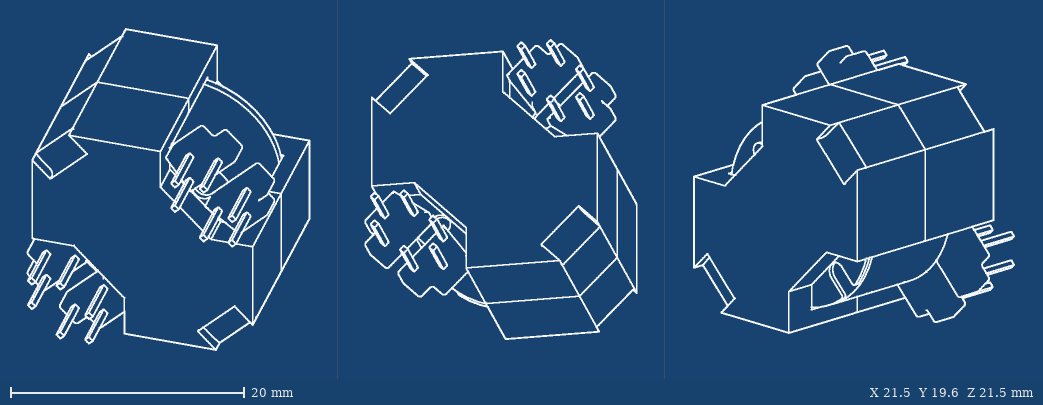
import cadquery as cq
import math

CORE_HALF_WIDTH = 9.88
CORE_HALF_LENGTH = 8.26
CORE_CORNER_FLAT = 6.59
LEG_FACE = 1.61
END_PLATE_REACH = 5.49
CAVITY_RADIUS = 8.55
CAVITY_HALF_LENGTH = 5.5
POST_RADIUS = 4.26

NOTCH_WALL_REACH = 9.35
NOTCH_SLOPE_REACH = 10.87
NOTCH_DEPTH = 1.0
NOTCH_EDGE_DEPTH = 1.1
NOTCH_FILLET = 0.47

TUBE_RADIUS = 4.95
FLANGE_RADIUS = 8.4
FLANGE_THICKNESS = 0.55
FLANGE_FILLET = 0.25
END_CLEARANCE = 0.17
SLOT_WIDTH = 1.8
SLOT_END_CENTRE = 6.35
MARKER_RADIUS = 0.75
MARKER_HEIGHT = 0.35

BLOCK_THICKNESS = 2.43
BLOCK_END = 7.0
BLOCK_INNER_REACH = 6.4
BLOCK_INNER_SIDE_REACH = 7.0
BLOCK_OUTER_REACH = 12.18
BLOCK_STEP_REACH = 10.7
BLOCK_STEP_SIDE = 3.18
BLOCK_SIDE = 4.67
BLOCK_FILLET = 0.25
PIN_WIDTH = 0.5
PIN_END = 11.32
PIN_PITCH = 2.56
PIN_GRID_START = 3.85

BASE_TOP = BLOCK_END - BLOCK_THICKNESS
BOBBIN_HALF_LENGTH = CAVITY_HALF_LENGTH - END_CLEARANCE
FLANGE_START = BOBBIN_HALF_LENGTH - FLANGE_THICKNESS
WINDING_END = FLANGE_START - END_CLEARANCE
CORNER_REACH = (CORE_HALF_WIDTH + CORE_CORNER_FLAT) / math.sqrt(2)
NOTCH_HALF_SPAN = (CORE_HALF_WIDTH - CORE_CORNER_FLAT) / math.sqrt(2)


def square_plane(height):
    """Plane along X and Z; height counts from the joint plane toward -Y."""
    return cq.Workplane(cq.Plane((0, -height, 0), xDir=(1, 0, 0), normal=(0, -1, 0)))


def diagonal_plane(height):
    """Same plane turned 45 degrees: x along the open diagonal, y along the closed one."""
    return cq.Workplane(cq.Plane((0, -height, 0), xDir=(1, 0, 1), normal=(0, -1, 0)))


def half_turn(body):
    return body.rotate((0, 0, 0), (0, 1, 0), 180)


def cylinder(radius, start, end):
    return square_plane(start).circle(radius).extrude(end - start)


def corner_notch():
    floor = CORE_HALF_LENGTH - NOTCH_DEPTH
    floor_edge = CORE_HALF_LENGTH - NOTCH_EDGE_DEPTH
    side = cq.Plane((0, 0, 0), xDir=(0, -1, 0), normal=(-1, 0, -1))
    return (
        cq.Workplane(side)
        .moveTo(CORE_HALF_LENGTH, NOTCH_WALL_REACH)
        .lineTo(floor + NOTCH_FILLET, NOTCH_WALL_REACH)
        .radiusArc((floor, NOTCH_WALL_REACH + NOTCH_FILLET), NOTCH_FILLET)
        .lineTo(floor, NOTCH_SLOPE_REACH)
        .lineTo(floor_edge, CORNER_REACH)
        .lineTo(CORE_HALF_LENGTH, CORNER_REACH)
        .close()
        .extrude(NOTCH_HALF_SPAN, both=True)
    )


def core_half():
    plate_corner = END_PLATE_REACH * math.sqrt(2) - LEG_FACE
    half_outline = [
        (-CORE_HALF_WIDTH, CORE_CORNER_FLAT),
        (-CORE_CORNER_FLAT, CORE_HALF_WIDTH),
        (LEG_FACE, CORE_HALF_WIDTH),
        (LEG_FACE, plate_corner),
        (plate_corner, LEG_FACE),
        (CORE_HALF_WIDTH, LEG_FACE),
    ]
    outline = half_outline + [(-x, -z) for x, z in half_outline]
    half = square_plane(0).polyline(outline).close().extrude(CORE_HALF_LENGTH)
    half = half.cut(cylinder(CAVITY_RADIUS, 0, CAVITY_HALF_LENGTH))
    half = half.union(cylinder(POST_RADIUS, 0, CAVITY_HALF_LENGTH))
    notch = corner_notch()
    return half.cut(notch).cut(half_turn(notch))


def wire_slot(start, end):
    """Slot with a round inner end, open at the rim on the +X +Z side."""
    length = FLANGE_RADIUS - SLOT_END_CENTRE
    height = end - start
    channel = diagonal_plane(start).center(SLOT_END_CENTRE + length / 2, 0).rect(length, SLOT_WIDTH)
    round_end = diagonal_plane(start).center(SLOT_END_CENTRE, 0).circle(SLOT_WIDTH / 2)
    return channel.extrude(height).union(round_end.extrude(height))


def open_diagonal_reach(edge):
    centre = edge.Center()
    return (centre.x + centre.z) / math.sqrt(2)


def top_flange():
    """Flange at the +Y end: one wire slot toward -X -Z, a round marker toward +X +Z."""
    flange = cylinder(FLANGE_RADIUS, -BOBBIN_HALF_LENGTH, -FLANGE_START)
    flange = flange.cut(half_turn(wire_slot(-BOBBIN_HALF_LENGTH, -FLANGE_START)))
    slot_middle = (SLOT_END_CENTRE + FLANGE_RADIUS) / 2
    rim_corners = flange.edges("|Y").filter(lambda edge: open_diagonal_reach(edge) < -slot_middle)
    flange = rim_corners.fillet(FLANGE_FILLET)
    flange = flange.faces("<Y").edges().fillet(FLANGE_FILLET)
    marker_end = -BOBBIN_HALF_LENGTH - MARKER_HEIGHT
    marker = diagonal_plane(marker_end).center(SLOT_END_CENTRE, 0).circle(MARKER_RADIUS)
    return flange.union(marker.extrude(MARKER_HEIGHT))


def terminal_block():
    """Block on the upper side of the gap at the +X +Z corner."""
    gap_side = SLOT_WIDTH / 2
    outline = [
        (BLOCK_INNER_REACH, gap_side),
        (BLOCK_INNER_SIDE_REACH, BLOCK_SIDE),
        (BLOCK_STEP_REACH, BLOCK_SIDE),
        (BLOCK_STEP_REACH, BLOCK_STEP_SIDE),
        (BLOCK_OUTER_REACH, BLOCK_STEP_SIDE),
        (BLOCK_OUTER_REACH, gap_side),
    ]
    block = diagonal_plane(BASE_TOP).polyline(outline).close().extrude(BLOCK_THICKNESS)
    outer_corners = block.edges("|Y").filter(lambda edge: open_diagonal_reach(edge) > FLANGE_RADIUS)
    block = outer_corners.fillet(BLOCK_FILLET)
    return block.faces("<Y or >Y").edges().fillet(BLOCK_FILLET)


def terminal_pins():
    """Three pins of the block on the upper side of the gap."""
    near, middle, far = (PIN_GRID_START + i * PIN_PITCH for i in range(3))
    grid = [(near, middle), (near, far), (middle, far)]
    centres = [((x + z) / math.sqrt(2), (z - x) / math.sqrt(2)) for x, z in grid]
    pins = diagonal_plane(BLOCK_END).pushPoints(centres).rect(PIN_WIDTH, PIN_WIDTH)
    return pins.extrude(PIN_END - BLOCK_END)


def base_flange():
    flange = cylinder(FLANGE_RADIUS, FLANGE_START, BOBBIN_HALF_LENGTH)
    slot = wire_slot(FLANGE_START, BOBBIN_HALF_LENGTH)
    return flange.cut(slot).cut(half_turn(slot))


def bobbin_body():
    body = cylinder(TUBE_RADIUS, -BOBBIN_HALF_LENGTH, BOBBIN_HALF_LENGTH)
    body = body.union(top_flange()).union(base_flange())
    upper = terminal_block().union(terminal_pins())
    lower = upper.mirror(cq.Vector(-1, 0, 1))
    for terminals in (upper, lower):
        body = body.union(terminals).union(half_turn(terminals))
    return body.cut(cylinder(POST_RADIUS, -BOBBIN_HALF_LENGTH, BOBBIN_HALF_LENGTH))


def coil():
    outside = cylinder(FLANGE_RADIUS, -WINDING_END, BASE_TOP)
    return outside.cut(cylinder(TUBE_RADIUS, -WINDING_END, BASE_TOP))


front_core = core_half()
back_core = front_core.mirror("XZ")
bobbin = bobbin_body()
winding = coil()

result = cq.Compound.makeCompound([front_core.val(), back_core.val(), bobbin.val(), winding.val()])